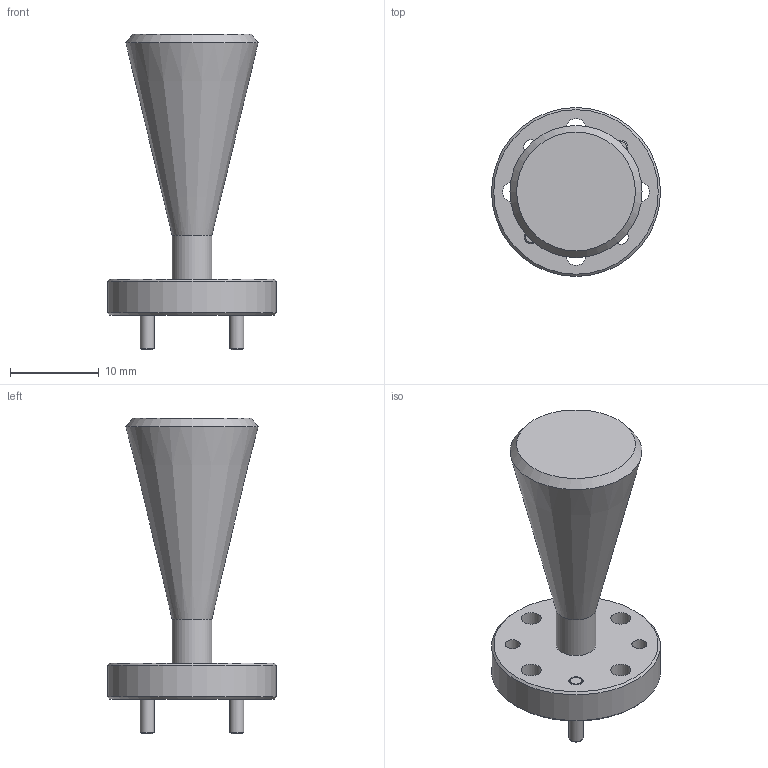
import cadquery as cq
import math

overall_height = 35.62

flange_diameter = 19.05
flange_thickness = 4.06
flange_chamfer = 0.25

stem_diameter = 4.5
stem_length = 4.95
cone_diameter = 14.9
bevel_height = 1.0
bevel_width = 0.75

bolt_circle_diameter = 14.29
screw_hole_diameter = 2.26
screw_hole_angles = (0, 90, 180, 270)
open_dowel_hole_diameter = 1.7
open_dowel_hole_angles = (135, 315)
pin_angles = (45, 225)

pin_diameter = 1.59
pin_protrusion = 3.94
pin_length = flange_thickness + pin_protrusion
pin_chamfer = 0.15

handle_top = overall_height - pin_protrusion
stem_top = flange_thickness + stem_length
bevel_bottom = handle_top - bevel_height


def circle_points(angles):
    """Points on the bolt circle at the given angles in degrees."""
    radius = bolt_circle_diameter / 2
    return [
        (radius * math.cos(math.radians(angle)), radius * math.sin(math.radians(angle)))
        for angle in angles
    ]


def drill_through(body, diameter, angles):
    """Cut straight holes through the flange on the bolt circle."""
    drills = (
        cq.Workplane("XY")
        .pushPoints(circle_points(angles))
        .circle(diameter / 2)
        .extrude(flange_thickness)
    )
    return body.cut(drills)


def make_flanged_handle():
    """Flange and handle turned in one piece, then drilled."""
    flange_radius = flange_diameter / 2
    stem_radius = stem_diameter / 2
    cone_radius = cone_diameter / 2
    body = (
        cq.Workplane("XZ")
        .moveTo(0, 0)
        .lineTo(flange_radius - flange_chamfer, 0)
        .lineTo(flange_radius, flange_chamfer)
        .lineTo(flange_radius, flange_thickness - flange_chamfer)
        .lineTo(flange_radius - flange_chamfer, flange_thickness)
        .lineTo(stem_radius, flange_thickness)
        .lineTo(stem_radius, stem_top)
        .lineTo(cone_radius, bevel_bottom)
        .lineTo(cone_radius - bevel_width, handle_top)
        .lineTo(0, handle_top)
        .close()
        .revolve(360, (0, 0), (0, 1))
    )
    body = drill_through(body, screw_hole_diameter, screw_hole_angles)
    body = drill_through(body, open_dowel_hole_diameter, open_dowel_hole_angles)
    return drill_through(body, pin_diameter, pin_angles)


def make_dowel_pin(x, y):
    """Round pin chamfered at both ends, its top level with the flange face."""
    return (
        cq.Workplane("XY")
        .circle(pin_diameter / 2)
        .extrude(pin_length)
        .edges("%CIRCLE")
        .chamfer(pin_chamfer)
        .translate((x, y, -pin_protrusion))
    )


flanged_handle = make_flanged_handle()
dowel_pins = [make_dowel_pin(x, y) for x, y in circle_points(pin_angles)]

result = cq.Compound.makeCompound(
    [flanged_handle.val(), *[pin.val() for pin in dowel_pins]]
)